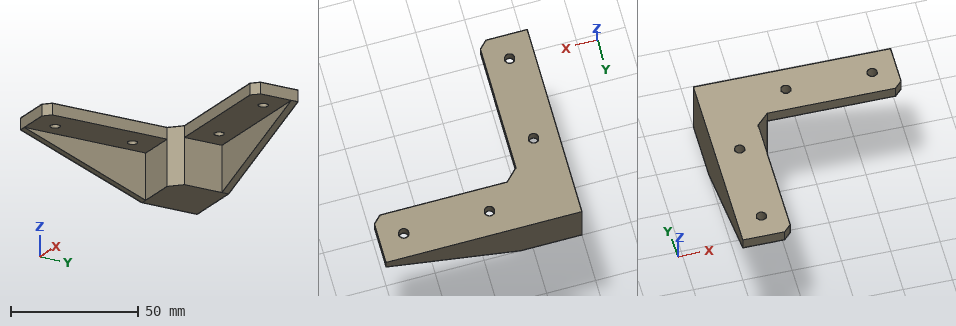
import cadquery as cq

leg_length = 80.0
leg_width = 20.0
wall_thickness = 3.0
end_chamfer = 3.0
hole_diameter = 4.0

plate_thickness = leg_width / 4
inner_chamfer = plate_thickness
wall_depth = leg_width
total_height = plate_thickness + wall_depth
corner_size = leg_width + inner_chamfer
hole_inset = leg_width / 2
hole_positions = [hole_inset + corner_size, leg_length - hole_inset]


def make_plate():
    """L-shaped plate with a chamfered inner corner and chamfered leg ends."""
    outline = [
        (0, 0),
        (leg_length, 0),
        (leg_length, end_chamfer - leg_width),
        (leg_length - end_chamfer, -leg_width),
        (corner_size, -leg_width),
        (leg_width, -corner_size),
        (leg_width, end_chamfer - leg_length),
        (leg_width - end_chamfer, -leg_length),
        (0, -leg_length),
    ]
    return cq.Workplane("XY").polyline(outline).close().extrude(-plate_thickness)


def make_corner_block():
    """Solid corner below the plate, flush with the inner chamfer."""
    outline = [
        (0, 0),
        (corner_size, 0),
        (corner_size, -leg_width),
        (leg_width, -corner_size),
        (0, -corner_size),
    ]
    return cq.Workplane("XY").polyline(outline).close().extrude(-total_height)


def make_wall(plane, inward):
    """Tapered outer wall along one leg; inward is the signed thickness."""
    profile = [
        (0, 0),
        (leg_length, 0),
        (leg_length, -plate_thickness),
        (corner_size, -total_height),
        (0, -total_height),
    ]
    return cq.Workplane(plane).polyline(profile).close().extrude(inward)


def make_holes():
    """Two screw holes centred across each leg, through the plate."""
    centres = []
    for position in hole_positions:
        centres.append((position, -hole_inset))
        centres.append((hole_inset, -position))
    return cq.Workplane("XY").pushPoints(centres).circle(hole_diameter / 2).extrude(-plate_thickness)


x_leg_wall = make_wall("XZ", wall_thickness)

y_leg_plane = cq.Plane(origin=(0, 0, 0), xDir=(0, -1, 0), normal=(-1, 0, 0))
y_leg_wall = make_wall(y_leg_plane, -wall_thickness)

bracket = make_plate().union(make_corner_block()).union(x_leg_wall).union(y_leg_wall)
result = bracket.cut(make_holes())